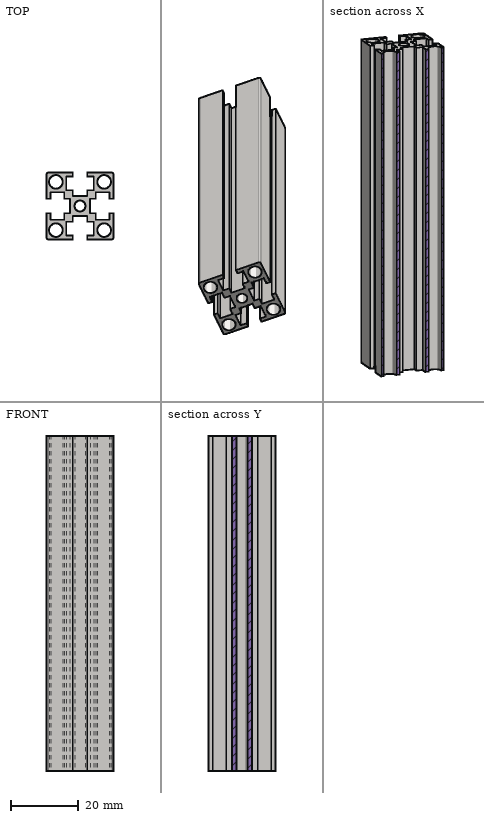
import cadquery as cq

WIDTH = 20.0
LENGTH = 100.0
CORNER_RADIUS = 0.5

SLOT_OPENING = 4.3
SLOT_DEPTH = 6.95
LIP_THICKNESS = 1.25
POCKET_WIDTH = 8.2
POCKET_DEPTH = 4.0

CENTER_BORE_DIAMETER = 3.2
CORNER_BORE_DIAMETER = 4.0
CORNER_BORE_SPACING = 14.4

SLOT_ANGLES = (0, 90, 180, 270)


def make_bar():
    """Square bar centred on the Z axis with rounded long edges."""
    bar = cq.Workplane("XY").rect(WIDTH, WIDTH).extrude(LENGTH)
    return bar.edges("|Z").fillet(CORNER_RADIUS)


def make_channel(outer_face, depth, width):
    """Full-length rectangular channel cut inward from the plane X = outer_face."""
    return cq.Workplane("XY").center(outer_face - depth / 2, 0).rect(depth, width).extrude(LENGTH)


def make_slot():
    """T-slot of the +X side: a narrow channel plus a wider pocket behind the lips."""
    face = WIDTH / 2
    opening = make_channel(face, SLOT_DEPTH, SLOT_OPENING)
    pocket = make_channel(face - LIP_THICKNESS, POCKET_DEPTH, POCKET_WIDTH)
    return opening.union(pocket)


def make_bores():
    """One bore on the bar's axis and one in each corner."""
    center_bore = cq.Workplane("XY").circle(CENTER_BORE_DIAMETER / 2).extrude(LENGTH)
    corner_bores = (
        cq.Workplane("XY")
        .rect(CORNER_BORE_SPACING, CORNER_BORE_SPACING, forConstruction=True)
        .vertices()
        .circle(CORNER_BORE_DIAMETER / 2)
        .extrude(LENGTH)
    )
    return center_bore.union(corner_bores)


def make_extrusion():
    """Bar with a T-slot on each side and the five bores."""
    extrusion = make_bar()
    slot = make_slot()
    for angle in SLOT_ANGLES:
        extrusion = extrusion.cut(slot.rotate((0, 0, 0), (0, 0, 1), angle))
    return extrusion.cut(make_bores())


result = make_extrusion().translate((WIDTH / 2, WIDTH / 2, 0))